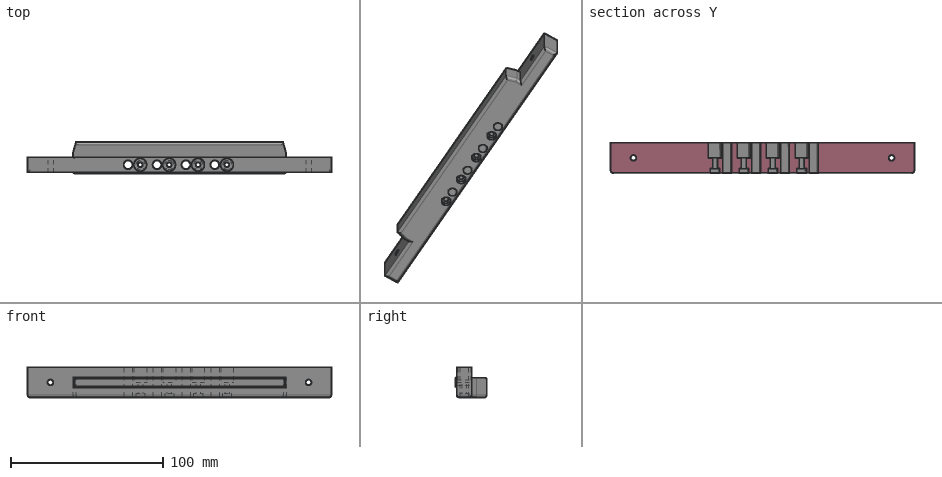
import cadquery as cq

bar_length = 200.0
bar_depth = 10.0
bar_height = 20.0
bottom_radius = 2.0

block_length = 140.2
block_depth = 10.0
block_height = 13.2
neck_depth = 3.0
end_taper = 2.0
block_top_radius = 1.8

strip_length = 140.0
strip_height = 7.0
strip_thickness = 1.0
strip_slope = 1.0
strip_center_z = bar_height / 2

end_hole_diameter = 3.5
end_hole_spacing = 169.8

hole_count = 4
hole_pitch = 19.0
plain_hole_start = -33.8
plain_hole_diameter = 5.5
screw_hole_start = -25.8
screw_hole_diameter = 3.0
top_bore_diameter = 8.5
top_bore_depth = bar_height / 2
bottom_bore_diameter = 6.0
bottom_bore_depth = 3.0


def make_bar():
    return cq.Workplane("XY").box(bar_length, bar_depth, bar_height, centered=(True, False, False))


def make_rear_block():
    half_length = block_length / 2
    neck_end = bar_depth + neck_depth
    back = bar_depth + block_depth
    outline = [
        (-half_length, bar_depth),
        (half_length, bar_depth),
        (half_length, neck_end),
        (half_length - end_taper, back),
        (-half_length + end_taper, back),
        (-half_length, neck_end),
    ]
    block = cq.Workplane("XY").polyline(outline).close().extrude(block_height)
    return block.faces(">Y").edges(">Z").fillet(block_top_radius)


def make_strip():
    return (
        cq.Workplane("XZ")
        .center(0, strip_center_z)
        .rect(strip_length, strip_height)
        .workplane(offset=strip_thickness)
        .rect(strip_length - 2 * strip_slope, strip_height - 2 * strip_slope)
        .loft(ruled=True)
    )


def vertical_holes(start, diameter, bottom, top):
    centers = [(start + i * hole_pitch, bar_depth / 2) for i in range(hole_count)]
    return (
        cq.Workplane("XY", origin=(0, 0, bottom))
        .pushPoints(centers)
        .circle(diameter / 2)
        .extrude(top - bottom)
    )


def end_holes():
    half_spacing = end_hole_spacing / 2
    return (
        cq.Workplane("XZ")
        .pushPoints([(-half_spacing, bar_height / 2), (half_spacing, bar_height / 2)])
        .circle(end_hole_diameter / 2)
        .extrude(-bar_depth)
    )


body = make_bar().union(make_rear_block())
body = body.faces("<Z").edges().fillet(bottom_radius)

result = (
    body.union(make_strip())
    .cut(end_holes())
    .cut(vertical_holes(plain_hole_start, plain_hole_diameter, 0, bar_height))
    .cut(vertical_holes(screw_hole_start, screw_hole_diameter, 0, bar_height))
    .cut(vertical_holes(screw_hole_start, top_bore_diameter, bar_height - top_bore_depth, bar_height))
    .cut(vertical_holes(screw_hole_start, bottom_bore_diameter, 0, bottom_bore_depth))
)